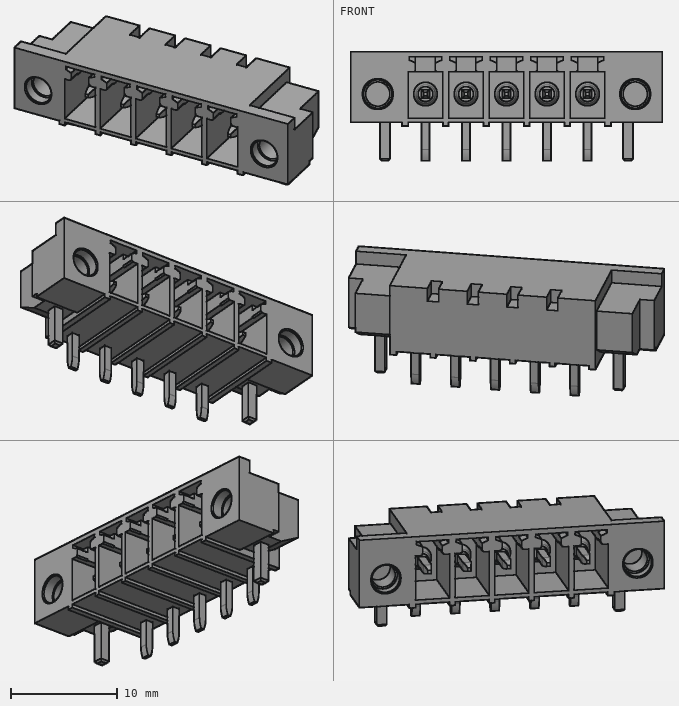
import cadquery as cq


contact_count = 5
pitch = 3.8
contact_z = 3.02
contact_xs = [(i - (contact_count - 1) / 2) * pitch for i in range(contact_count)]
partition_xs = [(i - contact_count / 2) * pitch for i in range(1, contact_count)]

length = 29.35
depth = 9.2
height = 7.0
foot_height = 0.35
core_width = 19.72

flange_thickness = 1.32
wing_top = 5.72
wing_underside = 0.7
wing_step_y = 4.28
wing_back = 8.6
wing_slope_y = 6.45
wing_slope_z = 1.8
shoulder_y = 4.93
shoulder_width = 26.58

foot_width = 0.53
end_foot_width = 0.62

pocket_width = 3.3
pocket_bottom = 0.75
pocket_top = 5.1
pocket_depth = 5.87

keyway_width = 1.88
keyway_top = 6.5
keyway_depth = 4.7
flare_width = 3.08
flare_edge_z = 6.22
flare_neck_z = 5.95
flare_depth = 1.32
mouth_chamfer = 0.15

boss_base_diameter = 2.23
boss_shoulder_diameter = 1.75
boss_face_diameter = 1.4
boss_taper_length = 0.73
boss_height = 0.9

slot_width = 1.05
slot_length = 1.95
slot_depth = height - wing_top

screw_x = 12.12
screw_mouth_diameter = 2.9
screw_mouth_chamfer = 0.12
screw_mouth_depth = 1.17
screw_bore_diameter = 2.3
screw_bore_depth = 3.52

pin_size = 0.8
pin_front = 1.35
pin_leg_y = 7.85
pin_bottom = height - 10.27
pin_tip_size = 0.32
pin_tip_length = 1.1
pin_tip_inset = (pin_size - pin_tip_size) / 2
tip_arc_radius = (pin_tip_length**2 + pin_tip_inset**2) / (2 * pin_tip_inset)

peg_width = 0.97
peg_depth = 1.0
peg_x = 3 * pitch
peg_y = 5.57
peg_chamfer = 0.18
peg_chamfer_height = 0.2


def box(x_range, y_range, z_range):
    """Block between the given lower and upper limits along each axis."""
    (x0, x1), (y0, y1), (z0, z1) = x_range, y_range, z_range
    return cq.Workplane("XY").box(x1 - x0, y1 - y0, z1 - z0, centered=False).translate((x0, y0, z0))


def centred_box(x_centre, width, y_range, z_range):
    """Block of the given width about x_centre."""
    return box((x_centre - width / 2, x_centre + width / 2), y_range, z_range)


def cylinder_along_y(x, z, diameter, cylinder_length):
    """Round bar that runs from the mating face towards the back."""
    return cq.Workplane("XZ", origin=(x, 0, z)).circle(diameter / 2).extrude(-cylinder_length)


def make_shell():
    """Outer block: core, stepped wings and full-height flanges."""
    core = centred_box(0, core_width, (0, depth), (foot_height, height))
    flanges = centred_box(0, length, (0, flange_thickness), (foot_height, height))
    wing_profile = [
        (0, foot_height),
        (wing_step_y, foot_height),
        (wing_step_y, wing_underside),
        (wing_slope_y, wing_underside),
        (wing_back, wing_slope_z),
        (wing_back, wing_top),
        (0, wing_top),
    ]
    wings = cq.Workplane("YZ").polyline(wing_profile).close().extrude(length / 2, both=True)
    for side in (-1, 1):
        corner_width = (length - shoulder_width) / 2
        corner_x = side * (length + shoulder_width) / 4
        wings = wings.cut(centred_box(corner_x, corner_width, (shoulder_y, depth), (0, height)))
    return core.union(wings).union(flanges)


def add_feet(body):
    """Narrow feet under the partitions and under both ends of the core."""
    end_foot_x = (core_width - end_foot_width) / 2
    feet = [(x, foot_width) for x in partition_xs]
    feet += [(-end_foot_x, end_foot_width), (end_foot_x, end_foot_width)]
    for x, width in feet:
        body = body.union(centred_box(x, width, (0, depth), (0, foot_height)))
    return body


def pocket_cutter(x):
    """Plug pocket with its keyway and the flared mouth of the keyway."""
    pocket = centred_box(x, pocket_width, (0, pocket_depth), (pocket_bottom, pocket_top))
    keyway = centred_box(x, keyway_width, (0, keyway_depth), (contact_z, keyway_top))
    half_flare = flare_width / 2
    half_key = keyway_width / 2
    right_side = [
        (half_flare, keyway_top),
        (half_flare, flare_edge_z),
        (half_key, flare_neck_z),
        (half_key, pocket_top + mouth_chamfer),
        (half_key + mouth_chamfer, pocket_top),
    ]
    left_side = [(-px, pz) for px, pz in reversed(right_side)]
    flare = (
        cq.Workplane("XZ", origin=(x, 0, 0))
        .polyline(right_side + left_side)
        .close()
        .extrude(-flare_depth)
    )
    return pocket.union(keyway).union(flare)


def contact_boss(x):
    """Tapered boss with a rounded shoulder, standing on the pocket floor around the contact."""
    shoulder_y = pocket_depth - boss_taper_length
    face_y = pocket_depth - boss_height
    base_radius = boss_base_diameter / 2
    shoulder_radius = boss_shoulder_diameter / 2
    face_radius = boss_face_diameter / 2
    return (
        cq.Workplane("XY", origin=(x, 0, contact_z))
        .moveTo(0, pocket_depth)
        .lineTo(base_radius, pocket_depth)
        .lineTo(shoulder_radius, shoulder_y)
        .tangentArcPoint((face_radius, face_y), relative=False)
        .lineTo(0, face_y)
        .close()
        .revolve(360, (0, 0, 0), (0, 1, 0))
    )


def screw_hole_cutter(x):
    """Stepped blind hole with a chamfered mouth."""
    pilot_diameter = screw_mouth_diameter - 2 * screw_mouth_chamfer
    mouth = cylinder_along_y(x, contact_z, pilot_diameter, screw_mouth_depth)
    bore = cylinder_along_y(x, contact_z, screw_bore_diameter, screw_bore_depth)
    chamfer = (
        cq.Workplane("XZ", origin=(x, 0, contact_z))
        .circle(screw_mouth_diameter / 2)
        .workplane(offset=-screw_mouth_chamfer)
        .circle(pilot_diameter / 2)
        .loft()
    )
    return mouth.union(bore).union(chamfer)


def make_housing(pins):
    """Complete housing, with a matching passage for every contact pin."""
    body = add_feet(make_shell())
    for x in partition_xs:
        slot = centred_box(x, slot_width, (depth - slot_length, depth), (height - slot_depth, height))
        body = body.cut(slot)
    for x in contact_xs:
        body = body.cut(pocket_cutter(x)).union(contact_boss(x))
    for x in (-screw_x, screw_x):
        body = body.cut(screw_hole_cutter(x))
    for pin in pins:
        body = body.cut(pin)
    return body


def make_pin(x):
    """Square contact bent at a right angle, both of its tips curved and the front one also tapered."""
    half = pin_size / 2
    half_tip = pin_tip_size / 2
    back = pin_leg_y + half
    blade_shoulder = pin_front + pin_tip_length
    leg_shoulder = pin_bottom + pin_tip_length
    side_profile = (
        cq.Workplane("YZ", origin=(x - half, 0, 0))
        .moveTo(pin_leg_y - half, contact_z - half)
        .lineTo(pin_leg_y - half, leg_shoulder)
        .radiusArc((pin_leg_y - half_tip, pin_bottom), -tip_arc_radius)
        .lineTo(pin_leg_y + half_tip, pin_bottom)
        .radiusArc((back, leg_shoulder), -tip_arc_radius)
        .lineTo(back, contact_z + half)
        .lineTo(blade_shoulder, contact_z + half)
        .radiusArc((pin_front, contact_z + half_tip), -tip_arc_radius)
        .lineTo(pin_front, contact_z - half_tip)
        .radiusArc((blade_shoulder, contact_z - half), -tip_arc_radius)
        .close()
        .extrude(pin_size)
    )
    plan_outline = [
        (-half_tip, pin_front),
        (half_tip, pin_front),
        (half, blade_shoulder),
        (half, back),
        (-half, back),
        (-half, blade_shoulder),
    ]
    plan_profile = (
        cq.Workplane("XY", origin=(x, 0, pin_bottom))
        .polyline(plan_outline)
        .close()
        .extrude(height - pin_bottom)
    )
    return side_profile.intersect(plan_profile)


def make_peg(x):
    """Rectangular mounting peg under a wing, with a chamfered tip."""
    peg_length = wing_underside - pin_bottom
    return (
        cq.Workplane("XY", origin=(x, peg_y, pin_bottom))
        .rect(peg_width, peg_depth)
        .extrude(peg_length)
        .faces("<Z")
        .chamfer(peg_chamfer_height, peg_chamfer)
    )


pins = [make_pin(x) for x in contact_xs]
pegs = [make_peg(x) for x in (-peg_x, peg_x)]
housing = make_housing(pins)

result = cq.Compound.makeCompound(
    [housing.val(), *[pin.val() for pin in pins], *[peg.val() for peg in pegs]]
)